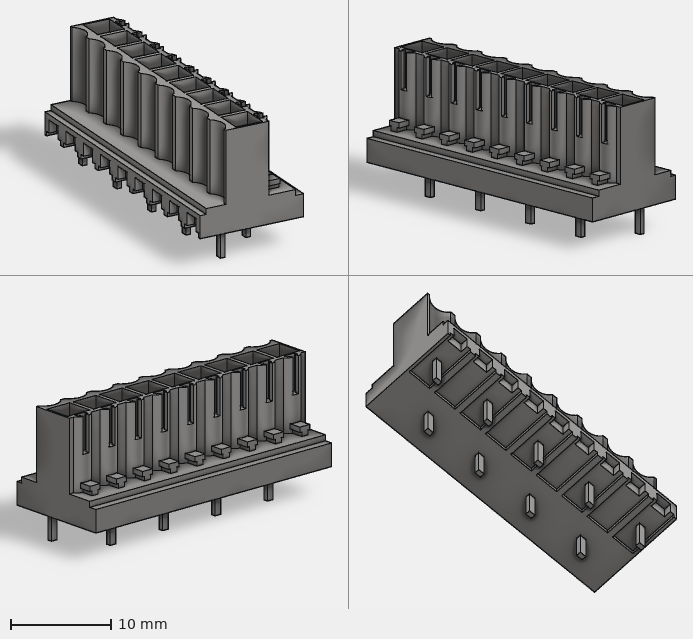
import cadquery as cq

POLES = 9
LENGTH = 31.5
PITCH = LENGTH / POLES
FIRST_POLE_X = 1.73
POLE_XS = [FIRST_POLE_X + PITCH * i for i in range(POLES)]

BASE_DEPTH = 11.85
PIN_LENGTH = 3.2
SLAB_HEIGHT = 2.5
SHOULDER_HEIGHT = 0.63
BASE_BOTTOM = PIN_LENGTH
SHOULDER_BOTTOM = BASE_BOTTOM + SLAB_HEIGHT
SHOULDER_TOP = SHOULDER_BOTTOM + SHOULDER_HEIGHT
FRONT_LEDGE = 0.7
REAR_LEDGE = 0.9

TOWER_TOP = 14.3
TOWER_HEIGHT = TOWER_TOP - SHOULDER_TOP
TOWER_FRONT = 2.93
TOWER_REAR = 7.88

SCALLOP_RADIUS = 1.8
SCALLOP_DEPTH = 0.72

RIB_RADIUS = 1.5
RIB_HEIGHT = 0.57

POCKET_SIZE = 3.02
POCKET_FRONT = 4.25
POCKET_DEPTH = 1.4

SLOT_DEPTH = 3.97
SLOT_HEAD_WIDTH = 1.32
SLOT_HEAD_FRONT = 7.45
SLOT_HEAD_REAR = 7.95
SLOT_NECK_WIDTH = 0.75

TAB_REAR = 9.75
TAB_WIDTH = SLOT_HEAD_WIDTH
TAB_WEB_WIDTH = 0.82
TAB_WEB_HEIGHT = 0.47
TAB_PLATE_HEIGHT = 0.57

FOOT_WIDTH = 2.8
FOOT_HEIGHT = 0.47
FOOT_DEPTH = BASE_DEPTH / 2
NOTCH_WIDTH = 1.83
NOTCH_HEIGHT = 1.9
NOTCH_DEPTH = 0.85

PIN_WIDTH = 0.75
PIN_THICKNESS = 0.55
FRONT_ROW_Y = 3.37
REAR_ROW_Y = 8.25
PIN_EMBED = 1.9


def block(center_x, width, y_range, z_range):
    """Box centred on center_x that spans the given Y and Z ranges."""
    depth = y_range[1] - y_range[0]
    height = z_range[1] - z_range[0]
    corner = (center_x - width / 2, y_range[0], z_range[0])
    return cq.Workplane("XY").box(width, depth, height, centered=False).translate(corner)


def tower_cylinder(x, y, radius):
    """Upright cylinder over the full height of the tower."""
    return cq.Workplane("XY", origin=(x, y, SHOULDER_TOP)).circle(radius).extrude(TOWER_HEIGHT)


def body_blank():
    """Base, shoulder and tower as one profile in YZ, extruded along X."""
    profile = [
        (0, BASE_BOTTOM),
        (BASE_DEPTH, BASE_BOTTOM),
        (BASE_DEPTH, SHOULDER_BOTTOM),
        (BASE_DEPTH - REAR_LEDGE, SHOULDER_BOTTOM),
        (BASE_DEPTH - REAR_LEDGE, SHOULDER_TOP),
        (TOWER_REAR, SHOULDER_TOP),
        (TOWER_REAR, TOWER_TOP),
        (TOWER_FRONT, TOWER_TOP),
        (TOWER_FRONT, SHOULDER_TOP),
        (FRONT_LEDGE, SHOULDER_TOP),
        (FRONT_LEDGE, SHOULDER_BOTTOM),
        (0, SHOULDER_BOTTOM),
    ]
    return cq.Workplane("YZ").polyline(profile).close().extrude(LENGTH)


def scallop(x):
    return tower_cylinder(x, TOWER_FRONT + SCALLOP_DEPTH - SCALLOP_RADIUS, SCALLOP_RADIUS)


def rib(x):
    """Segment of a cylinder that stands out from the rear face of the tower."""
    cylinder = tower_cylinder(x, TOWER_REAR + RIB_HEIGHT - RIB_RADIUS, RIB_RADIUS)
    y_range = (TOWER_REAR, TOWER_REAR + RIB_HEIGHT)
    rear_side = block(x, 2 * RIB_RADIUS, y_range, (SHOULDER_TOP, TOWER_TOP))
    return cylinder.intersect(rear_side)


def tab(x):
    web_top = SHOULDER_TOP + TAB_WEB_HEIGHT
    web = block(x, TAB_WEB_WIDTH, (TOWER_REAR, TAB_REAR), (SHOULDER_TOP, web_top))
    plate = block(x, TAB_WIDTH, (TOWER_REAR, TAB_REAR), (web_top, web_top + TAB_PLATE_HEIGHT))
    return web.union(plate)


def top_pocket(x):
    y_range = (POCKET_FRONT, POCKET_FRONT + POCKET_SIZE)
    return block(x, POCKET_SIZE, y_range, (TOWER_TOP - POCKET_DEPTH, TOWER_TOP))


def rib_slot(x):
    z_range = (TOWER_TOP - SLOT_DEPTH, TOWER_TOP)
    head = block(x, SLOT_HEAD_WIDTH, (SLOT_HEAD_FRONT, SLOT_HEAD_REAR), z_range)
    neck = block(x, SLOT_NECK_WIDTH, (SLOT_HEAD_FRONT, TOWER_REAR + RIB_HEIGHT), z_range)
    return head.union(neck)


def foot_recess(x):
    """Wide shallow recess, with a taller notch in the front wall."""
    foot = block(x, FOOT_WIDTH, (0, FOOT_DEPTH), (BASE_BOTTOM, BASE_BOTTOM + FOOT_HEIGHT))
    notch = block(x, NOTCH_WIDTH, (0, NOTCH_DEPTH), (BASE_BOTTOM, BASE_BOTTOM + NOTCH_HEIGHT))
    return foot.union(notch)


def make_pin(index):
    row_y = FRONT_ROW_Y if index % 2 == 0 else REAR_ROW_Y
    y_range = (row_y - PIN_THICKNESS / 2, row_y + PIN_THICKNESS / 2)
    return block(POLE_XS[index], PIN_WIDTH, y_range, (0, BASE_BOTTOM + PIN_EMBED))


def make_housing(pins):
    """Plastic body with all pole features and a matching hole for each pin."""
    body = body_blank()
    for x in POLE_XS:
        body = body.union(rib(x)).union(tab(x))
    for x in POLE_XS:
        for cutter in (scallop(x), top_pocket(x), rib_slot(x), foot_recess(x)):
            body = body.cut(cutter)
    for pin in pins:
        body = body.cut(pin)
    return body


pins = [make_pin(i) for i in range(POLES)]
housing = make_housing(pins)

result = cq.Compound.makeCompound([housing.val(), *[pin.val() for pin in pins]])